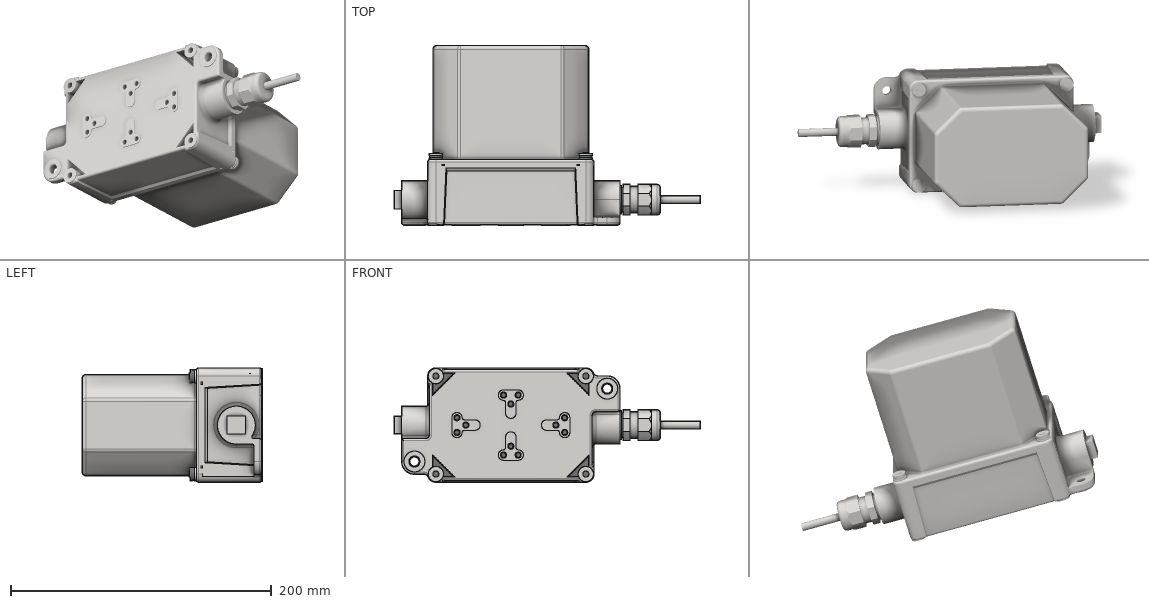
import cadquery as cq
import math

HALF_LENGTH = 63.8
HALF_HEIGHT = 43.9
PAD_HEIGHT = 0.7
HOUSING_BACK = 50.7
CORNER_RADIUS = 6.3
BACK_EDGE_RADIUS = 1.9
BASE_EDGE_RADIUS = 1.6

RECESS_DEPTH = 1.5
RECESS_BACK = 44.0
RECESS_SIDE_SLOPE = 0.7
RECESS_BACK_SLOPE = 2.0
LONG_RECESS_HALF = (51.5, 49.7)
SHORT_RECESS_HALF = (31.5, 28.9)
MARK_WIDTH = 1.9
MARK_HEIGHT = 1.0
MARK_DEPTH = 0.7
MARK_Y = 46.5
LONG_MARK_OFFSET = 51.8
SHORT_MARK_OFFSET = 32.1

POST_X = HALF_LENGTH - CORNER_RADIUS
POST_Z = HALF_HEIGHT - CORNER_RADIUS
POST_RADIUS = 5.9
POST_HOLE_RADIUS = 2.3
POST_HOLE_DEPTH = 7.0
POCKET_X = 60.0
POCKET_Z = 39.9
POCKET_LEG = 17.1
POCKET_DEPTH = 14.0
POCKET_DRAFT = 2
SCREW_STEPS = [
    (5.2, 51.8),
    (4.5, 52.5),
    (5.0, 54.0),
    (5.2, 55.4),
    (2.3, 56.0),
]

COVER_HALF_LENGTH = 59.8
COVER_HALF_HEIGHT = 39.0
COVER_FLAT_X = 39.9
COVER_FLAT_Z = 19.7
COVER_BACK = 138.2
COVER_CORNER_RADIUS = 3.5
COVER_END_RADIUS = 3.0
COVER_FOOT_RADIUS = 1.5

BOSS_END = 83.7
BOSS_Y = 20.0
BOSS_RADIUS = 14.5
BOSS_FOOT_RADIUS = 2.8
TAB_BACK = 6.5
TAB_INNER_Z = 10.3
TAB_HOLE_X = 74.0
TAB_HOLE_Z = 28.0
TAB_CORNER_RADIUS = BOSS_END - TAB_HOLE_X
TAB_HOLE_RADIUS = 3.5
TAB_HOLE_CHAMFER = 0.7
TAB_PAD_RADIUS = 8.0
TAB_FOOT_RADIUS = 1.5
TAB_NECK_RADIUS = 3.5
CORNER_FLAT_TOP = 45.7
CORNER_FLAT_Z = 39.5

T_HALF_WIDTH = 4.0
T_BAR_HALF = 5.6
T_LEG = 13.8
T_STEM_HOLE = 6.8
T_CORNER_RADIUS = 1.9
T_HOLE_RADIUS = 1.9
T_HOLE_CHAMFER = 0.5
T_HOLE_DEPTH = 4.7
T_BAR_FROM_CENTRE_Z = 23.0
T_BAR_FROM_CENTRE_X = 41.3

PLUG_END = -89.4
PLUG_WIDTH_Y = 14.3
PLUG_WIDTH_Z = 13.5

SEAL_END = 85.0
NECK_END = 86.0
LOCK_NUT_END = 91.5
COLLAR_END = 97.3
CAP_FLATS_END = 108.0
CAP_END = 114.7
CABLE_END = 145.2
SEAL_RADIUS = 11.0
NECK_RADIUS = 9.5
COLLAR_RADIUS = 10.3
NUT_ACROSS_FLATS = 23.7
NUT_APOTHEM = NUT_ACROSS_FLATS / 2
CAP_END_RADIUS = 2.8
CAP_CHAMFER_LENGTH = 1.9
CABLE_RADIUS = 3.0

NUT_SIDES = 8
NUT_CORNER_RADIUS = NUT_APOTHEM / math.cos(math.pi / NUT_SIDES)

NEAR = 0.2
OVERLAP = 2.3

CORNERS = [(sx, sz) for sx in (-1, 1) for sz in (-1, 1)]


def plane_at(y):
    """Workplane at height y facing -Y, toward the base; its local axes are X and Z."""
    return cq.Workplane(cq.Plane((0, y, 0), xDir=(1, 0, 0), normal=(0, -1, 0)))


def half_turn(shape):
    """Turn a shape half way round the Y axis."""
    return shape.rotate((0, 0, 0), (0, 1, 0), 180)


def cylinder_y(x, z, radius, y_start, y_end):
    return plane_at(y_end).center(x, z).circle(radius).extrude(y_end - y_start)


def cylinder_x(radius, x_start, x_end):
    """Cylinder on the common axis of the bosses and the gland."""
    return (
        cq.Workplane("YZ", origin=(x_start, BOSS_Y, 0)).circle(radius).extrude(x_end - x_start)
    )


def make_block():
    block = (
        plane_at(HOUSING_BACK)
        .rect(2 * HALF_LENGTH, 2 * HALF_HEIGHT)
        .extrude(HOUSING_BACK - PAD_HEIGHT)
        .edges("|Y").fillet(CORNER_RADIUS)
    )
    return block.faces(">Y").edges().fillet(BACK_EDGE_RADIUS)


def make_recess(face_distance, half_widths, mark_offset):
    """Cutter for the +Z side: a sloping-walled recess run out through the base, and two notches."""
    base_half, back_half = half_widths
    taper = (base_half - back_half) / RECESS_BACK
    front_half = base_half + taper * OVERLAP

    def outline(inset, back_inset):
        front, back = front_half - inset, back_half - inset
        end = RECESS_BACK - back_inset
        return [(-front, -OVERLAP), (front, -OVERLAP), (back, end), (-back, end)]

    rim = cq.Workplane("XY", origin=(0, 0, face_distance))
    recess = (
        rim.polyline(outline(0, 0)).close()
        .workplane(offset=-RECESS_DEPTH)
        .polyline(outline(RECESS_SIDE_SLOPE, RECESS_BACK_SLOPE)).close()
        .loft(ruled=True)
    )
    marks = (
        rim.pushPoints([(-mark_offset, MARK_Y), (mark_offset, MARK_Y)])
        .rect(MARK_WIDTH, MARK_HEIGHT).extrude(-MARK_DEPTH)
    )
    return recess.union(marks)


def cut_recesses(body):
    long_recess = make_recess(HALF_HEIGHT, LONG_RECESS_HALF, LONG_MARK_OFFSET)
    short_recess = make_recess(HALF_LENGTH, SHORT_RECESS_HALF, SHORT_MARK_OFFSET)
    short_recess = short_recess.rotate((0, 0, 0), (0, 1, 0), 90)
    for recess in (long_recess, short_recess):
        body = body.cut(recess).cut(half_turn(recess))
    return body


def make_boss():
    """Round +X boss, flattened on the side where it runs down into the mounting tab."""
    root = HALF_LENGTH - RECESS_DEPTH - OVERLAP
    length = BOSS_END - root
    web = (
        cq.Workplane("YZ", origin=(root, 0, 0))
        .moveTo(PAD_HEIGHT, TAB_INNER_Z)
        .lineTo(BOSS_Y, TAB_INNER_Z)
        .lineTo(BOSS_Y, BOSS_RADIUS)
        .lineTo(PAD_HEIGHT, BOSS_RADIUS)
        .close().extrude(length)
    )
    return cylinder_x(BOSS_RADIUS, root, BOSS_END).union(web)


def make_tab():
    """+X tab: rounded outer corner, and a hollow curve running into the housing corner."""
    top = TAB_HOLE_Z + TAB_CORNER_RADIUS
    neck_z = top + TAB_NECK_RADIUS
    centre_distance = CORNER_RADIUS + TAB_NECK_RADIUS
    neck_angle = math.asin((neck_z - POST_Z) / centre_distance)
    neck_x = POST_X + centre_distance * math.cos(neck_angle)
    middle_angle = (neck_angle + math.pi / 2) / 2

    def neck_point(angle):
        return (
            neck_x - TAB_NECK_RADIUS * math.cos(angle), neck_z - TAB_NECK_RADIUS * math.sin(angle)
        )

    corner_middle = TAB_CORNER_RADIUS * math.sqrt(0.5)
    return (
        plane_at(TAB_BACK)
        .moveTo(POST_X, TAB_INNER_Z).lineTo(BOSS_END, TAB_INNER_Z)
        .lineTo(BOSS_END, TAB_HOLE_Z)
        .threePointArc((TAB_HOLE_X + corner_middle, TAB_HOLE_Z + corner_middle), (TAB_HOLE_X, top))
        .lineTo(neck_x, top)
        .threePointArc(neck_point(middle_angle), neck_point(neck_angle))
        .lineTo(POST_X, POST_Z).close()
        .extrude(TAB_BACK - PAD_HEIGHT)
    )


def make_corner_flat():
    return (
        plane_at(CORNER_FLAT_TOP)
        .moveTo(POST_X, POST_Z - OVERLAP).lineTo(HALF_LENGTH, POST_Z - OVERLAP)
        .lineTo(HALF_LENGTH, CORNER_FLAT_Z).lineTo(POST_X, CORNER_FLAT_Z).close()
        .extrude(CORNER_FLAT_TOP - TAB_BACK)
    )


def round_cover_foot(body):
    foot = cq.selectors.BoxSelector(
        (-COVER_HALF_LENGTH - NEAR, HOUSING_BACK - NEAR, -COVER_HALF_HEIGHT - NEAR),
        (COVER_HALF_LENGTH + NEAR, HOUSING_BACK + NEAR, COVER_HALF_HEIGHT + NEAR),
    )
    return body.edges(foot).fillet(COVER_FOOT_RADIUS)


def make_cover():
    x, z = COVER_HALF_LENGTH, COVER_HALF_HEIGHT
    flat_x, flat_z = COVER_FLAT_X, COVER_FLAT_Z
    cover = (
        plane_at(COVER_BACK)
        .polyline([
            (x, -flat_z), (x, flat_z), (flat_x, z), (-flat_x, z),
            (-x, flat_z), (-x, -flat_z), (-flat_x, -z), (flat_x, -z),
        ]).close().extrude(COVER_BACK - HOUSING_BACK)
    )
    cover = cover.edges("|Y").fillet(COVER_CORNER_RADIUS)
    return cover.faces(">Y").edges().fillet(COVER_END_RADIUS)


def cut_corner_pockets(body):
    for sx, sz in CORNERS:
        x, z = sx * POCKET_X, sz * POCKET_Z
        pocket = (
            plane_at(0)
            .polyline([(x, z), (x - sx * POCKET_LEG, z), (x, z - sz * POCKET_LEG)]).close()
            .extrude(-POCKET_DEPTH, taper=POCKET_DRAFT)
        )
        body = body.cut(pocket)
    return body


def add_posts_and_screws(body):
    for sx, sz in CORNERS:
        x, z = sx * POST_X, sz * POST_Z
        body = body.union(cylinder_y(x, z, POST_RADIUS, 0, POCKET_DEPTH + OVERLAP))
        body = body.cut(cylinder_y(x, z, POST_HOLE_RADIUS, 0, POST_HOLE_DEPTH))
        step_start = HOUSING_BACK
        for radius, step_end in SCREW_STEPS:
            body = body.union(cylinder_y(x, z, radius, step_start, step_end))
            step_start = step_end
    return body


def add_mounting_holes(body):
    for side in (-1, 1):
        x, z = side * TAB_HOLE_X, side * TAB_HOLE_Z
        body = body.union(cylinder_y(x, z, TAB_PAD_RADIUS, 0, TAB_BACK))
        body = body.cut(cylinder_y(x, z, TAB_HOLE_RADIUS, 0, TAB_BACK))
        body = body.cut(countersink(x, z, TAB_HOLE_RADIUS, TAB_HOLE_CHAMFER))
    return body


def countersink(x, z, hole_radius, size):
    cone = cq.Solid.makeCone(
        hole_radius + size, hole_radius, size, pnt=cq.Vector(x, 0, z), dir=cq.Vector(0, 1, 0)
    )
    return cq.Workplane(obj=cone)


def make_t_pad():
    """T pad with its bar axis through the origin and its leg along -Z."""
    bar_length = 2 * (T_BAR_HALF + T_HALF_WIDTH)
    bar = plane_at(PAD_HEIGHT).slot2D(bar_length, 2 * T_HALF_WIDTH).extrude(PAD_HEIGHT)
    leg = (
        plane_at(PAD_HEIGHT).moveTo(T_HALF_WIDTH, 0)
        .lineTo(-T_HALF_WIDTH, 0).lineTo(-T_HALF_WIDTH, -T_LEG)
        .threePointArc((0, -T_LEG - T_HALF_WIDTH), (T_HALF_WIDTH, -T_LEG)).close()
        .extrude(PAD_HEIGHT)
    )
    inner_corners = cq.selectors.BoxSelector(
        (-T_HALF_WIDTH - NEAR, -NEAR, -T_HALF_WIDTH - NEAR),
        (T_HALF_WIDTH + NEAR, PAD_HEIGHT + NEAR, -T_HALF_WIDTH + NEAR),
    )
    return bar.union(leg).edges("|Y").edges(inner_corners).fillet(T_CORNER_RADIUS)


def make_t_holes():
    holes = cq.Workplane()
    for x, z in ((-T_BAR_HALF, 0), (T_BAR_HALF, 0), (0, -T_STEM_HOLE)):
        holes = holes.union(cylinder_y(x, z, T_HOLE_RADIUS, 0, T_HOLE_DEPTH))
        holes = holes.union(countersink(x, z, T_HOLE_RADIUS, T_HOLE_CHAMFER))
    return holes


def add_t_pads(body):
    """Four T pads a quarter turn apart, with their legs toward the middle of the base."""
    pad = make_t_pad()
    holes = make_t_holes()
    reaches = (T_BAR_FROM_CENTRE_Z, T_BAR_FROM_CENTRE_X) * 2
    for quarter, reach in enumerate(reaches):
        placed_pad, placed_holes = (
            shape.translate((0, 0, reach)).rotate((0, 0, 0), (0, 1, 0), 90 * quarter)
            for shape in (pad, holes)
        )
        body = body.union(placed_pad).cut(placed_holes)
    return body


def edges_in_box(body, corner, opposite):
    """Edges whose centres lie in a box, together with those in its half-turn copy."""
    turned_corner = (-corner[0], corner[1], -corner[2])
    turned_opposite = (-opposite[0], opposite[1], -opposite[2])
    box = cq.selectors.BoxSelector(corner, opposite)
    turned_box = cq.selectors.BoxSelector(turned_corner, turned_opposite)
    return body.edges(box + turned_box)


def add_bosses_and_tabs(body):
    boss_and_tab = make_boss().union(make_tab()).union(make_corner_flat())
    body = body.union(boss_and_tab).union(half_turn(boss_and_tab))
    floor_x = HALF_LENGTH - RECESS_DEPTH
    boss_top = BOSS_Y + BOSS_RADIUS

    round_side = edges_in_box(
        body,
        (TAB_HOLE_X - OVERLAP, TAB_BACK, TAB_INNER_Z - NEAR),
        (BOSS_END, BOSS_Y, TAB_INNER_Z + NEAR),
    )
    body = round_side.fillet(TAB_FOOT_RADIUS)

    foot = edges_in_box(
        body,
        (floor_x - NEAR, PAD_HEIGHT + NEAR, -BOSS_RADIUS - NEAR),
        (floor_x + NEAR, boss_top + NEAR, BOSS_RADIUS + NEAR),
    )
    body = foot.fillet(BOSS_FOOT_RADIUS)

    flat_side = edges_in_box(
        body,
        (TAB_HOLE_X - OVERLAP, TAB_BACK - NEAR, BOSS_RADIUS - NEAR),
        (BOSS_END, TAB_BACK + NEAR, BOSS_RADIUS + NEAR),
    )
    return flat_side.fillet(TAB_FOOT_RADIUS)


def make_housing():
    body = cut_recesses(make_block())
    body = add_bosses_and_tabs(body)
    body = body.faces("<Y").edges().fillet(BASE_EDGE_RADIUS)
    body = body.union(make_cover())
    body = round_cover_foot(body)
    body = cut_corner_pockets(body)
    body = add_posts_and_screws(body)
    body = add_mounting_holes(body)
    body = add_t_pads(body)
    plug = cq.Workplane("YZ", origin=(PLUG_END, BOSS_Y, 0)).rect(PLUG_WIDTH_Y, PLUG_WIDTH_Z)
    return body.union(plug.extrude(-BOSS_END - PLUG_END))


def octagon_x(x_start, x_end):
    """Octagonal nut with flats facing Y and Z."""
    nut = (
        cq.Workplane("YZ", origin=(x_start, 0, 0))
        .polygon(NUT_SIDES, 2 * NUT_CORNER_RADIUS).extrude(x_end - x_start)
    )
    half_side_angle = 180 / NUT_SIDES
    return nut.rotate((0, 0, 0), (1, 0, 0), half_side_angle).translate((0, BOSS_Y, 0))


def make_gland():
    cap_trim = cylinder_x(NUT_CORNER_RADIUS, COLLAR_END, CAP_FLATS_END)
    cap_trim = cap_trim.faces(">X").chamfer(CAP_CHAMFER_LENGTH, NUT_CORNER_RADIUS - NUT_APOTHEM)
    cap_flats = octagon_x(COLLAR_END, CAP_FLATS_END).intersect(cap_trim)
    cap_end = cylinder_x(NUT_APOTHEM, CAP_FLATS_END, CAP_END)
    cap_end = cap_end.faces(">X").edges().fillet(CAP_END_RADIUS)
    return (
        cylinder_x(SEAL_RADIUS, BOSS_END, SEAL_END)
        .union(cylinder_x(NECK_RADIUS, SEAL_END, NECK_END))
        .union(octagon_x(NECK_END, LOCK_NUT_END))
        .union(cylinder_x(COLLAR_RADIUS, LOCK_NUT_END, COLLAR_END))
        .union(cap_flats).union(cap_end)
        .union(cylinder_x(CABLE_RADIUS, CAP_END, CABLE_END))
    )


housing = make_housing()
gland = make_gland()
result = cq.Compound.makeCompound([housing.val(), gland.val()])